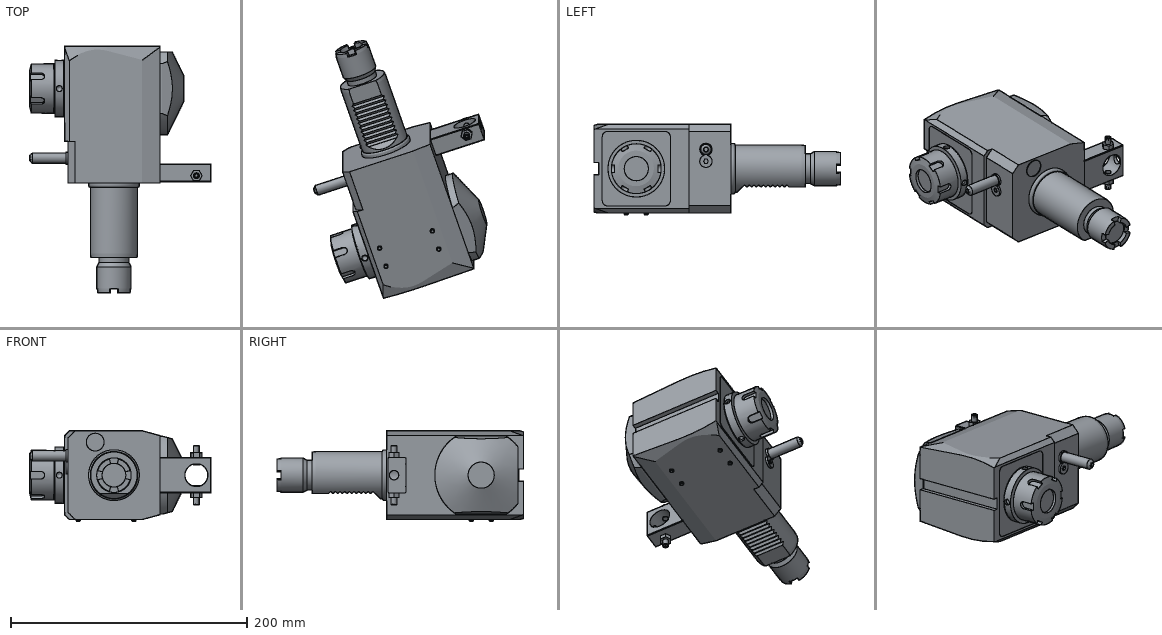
import cadquery as cq
import math


HOUSING_LENGTH = 116.0
HOUSING_HALF_HEIGHT = 37.6
HOUSING_RIGHT = 39.0
REAR_LEFT = -41.8
REAR_CHAMFER = 4.0
FRONT_LEFT = -39.0
FRONT_CHAMFER = 6.3
STEP_Y = 35.3
TAPER_ANGLE = 15.0
TAPER_START_X = 24.0

CROWN_HEIGHT = 36.8
CROWN_PEAK_X = -13.5
CROWN_RADIUS = 115.0
CROWN_SLOPE = 4.0
CROWN_HALF_SPAN = 62.7

KEYWAY_DEPTH = 4.0
KEYWAY_WIDTH = 10.0

PANEL_LENGTH = 57.7
PANEL_HEIGHT = 63.1
PANEL_CORNER = 4.5
PANEL_THICKNESS = 0.2

SPINDLE_Y = 80.0
TOOL_END_X = -71.5
SEAT_RADIUS = 23.0
SEAT_X = -42.6
FLANGE_RADIUS = 24.0
FLANGE_X = -50.0
FLANGE_HOLE_DIAMETER = 5.0
FLANGE_HOLE_DEPTH = 2.0
FLANGE_HOLE_TIP = 1.5
FLANGE_HOLE_COUNT = 4
NECK_RADIUS = 16.3
NUT_X = -50.8
NUT_RADIUS = 21.1
NUT_FACE_RADIUS = 15.0
NUT_CHAMFER = 1.5
NUT_SLOT_COUNT = 6
NUT_SLOT_WIDTH = 6.3
NUT_SLOT_END_X = -58.7
NUT_SLOT_DEPTH = 2.7
COLLET_RADIUS = 10.2
COLLET_DEPTH = 2.5

PIN_Y = 21.1
PIN_Z = 16.3
PIN_RADIUS = 4.4
PIN_CHAMFER = 2.3
COLLAR_RADIUS = 5.2
COLLAR_HEIGHT = 1.7
SCREW_Z = 6.3
SOCKET_SIZE = 4.0
SOCKET_DEPTH = 2.0

RECESS_X = -15.9
RECESS_Z = 28.0
RECESS_RADIUS = 7.5
RECESS_DEPTH = 0.6

SHANK_RADIUS = 20.0
COLLAR_RIM_RADIUS = 21.5
COLLAR_RIM_LENGTH = 1.9
RELIEF_RADIUS = 19.6
SHANK_CHAMFER_START = 60.0
SHANK_LENGTH = 63.1
DRIVE_NECK_RADIUS = 12.7
DRIVE_NECK_END = 67.3
DRIVE_RADIUS = 14.6
DRIVE_START = 70.9
DRIVE_LENGTH = 93.0
DRIVE_TIP_RADIUS = 14.2
DRIVE_SLOT_DEPTH = 3.3
DRIVE_SLOT_COUNT = 4
DRIVE_BORE_RADIUS = 10.0
DRIVE_BORE_DEPTH = 4.2
DRIVE_SLOT_INNER_WIDTH = 5.6
DRIVE_SLOT_OUTER_WIDTH = 8.2

FLAT_Z = -15.7
FLAT_START = 9.6
TOOTH_COUNT = 10
TOOTH_PITCH = 4.0
TOOTH_DEPTH = 1.7
FIRST_TOOTH = 11.7

COVER_RADIUS = 39.3
COVER_RIM_X = 45.4
COVER_TIP_RADIUS = 11.0
COVER_TIP_X = 59.1
COVER_BACK_Y = 111.2
COVER_LEDGE_END_X = 41.0

ARM_END_X = 82.1
ARM_Y = 1.0
ARM_THICKNESS = 15.3
ARM_HEIGHT = 30.0
ARM_CHAMFER = 0.6
ARM_BORE_X = 69.8
ARM_BORE_RADIUS = 9.6
ARM_END_HOLE_RADIUS = 4.0
CLAMP_Y = 6.3
CLAMP_RADIUS = 2.5
CLAMP_START_Z = 8.8
CLAMP_CHAMFER = 0.5
CLAMP_SOCKET_SIZE = 3.0
CLAMP_SOCKET_DEPTH = 2.5
CLAMP_END_Z = 25.0
CLAMP_NUT_WIDTH = 9.8
CLAMP_NUT_HEIGHT = 4.0

RIVET_X = (-30.3, 17.0)
RIVET_Y = (71.7, 88.6)
RIVET_RADIUS = 1.9
RIVET_HEIGHT = 1.5
RIVET_CHAMFER = 0.6


def taper_z(x):
    """Height of the sloped right-hand shoulder at x."""
    return HOUSING_HALF_HEIGHT - (x - TAPER_START_X) * math.tan(math.radians(TAPER_ANGLE))


def section_xz(left, chamfer, right, y_start, y_end):
    """Housing section with chamfered left corners and a sloped right side, from y_start to y_end."""
    top = HOUSING_HALF_HEIGHT
    upper = [(left, top - chamfer), (left + chamfer, top), (TAPER_START_X, top), (right, taper_z(right))]
    lower = [(x, -z) for x, z in reversed(upper)]
    return (
        cq.Workplane("XZ", origin=(0, y_start, 0))
        .polyline(upper + lower)
        .close()
        .extrude(y_start - y_end)
    )


def turned_along_x(profile):
    """Solid of revolution about the spindle axis from (x, radius) points."""
    points = [(profile[0][0], 0)] + profile + [(profile[-1][0], 0)]
    turned = cq.Workplane("XY").polyline(points).close().revolve(360, (0, 0, 0), (1, 0, 0))
    return turned.translate((0, SPINDLE_Y, 0))


def crown_envelope():
    """Drafted solid that widens forward from the back face and rounds off the housing's back edges."""
    slope = math.radians(CROWN_SLOPE)
    centre_z = CROWN_HEIGHT - CROWN_RADIUS

    def on_arc(x):
        return (x, centre_z + math.sqrt(CROWN_RADIUS**2 - (x - CROWN_PEAK_X) ** 2))

    start = on_arc(-CROWN_HALF_SPAN)
    peak = (CROWN_PEAK_X, CROWN_HEIGHT)
    tangent = on_arc(CROWN_PEAK_X + CROWN_RADIUS * math.sin(slope))
    end = (CROWN_HALF_SPAN, tangent[1] - (CROWN_HALF_SPAN - tangent[0]) * math.tan(slope))

    def mirrored(point):
        return (point[0], -point[1])

    return (
        cq.Workplane("XZ", origin=(0, HOUSING_LENGTH, 0))
        .moveTo(*start)
        .threePointArc(peak, tangent)
        .lineTo(*end)
        .lineTo(*mirrored(end))
        .lineTo(*mirrored(tangent))
        .threePointArc(mirrored(peak), mirrored(start))
        .close()
        .extrude(HOUSING_LENGTH, taper=-TAPER_ANGLE)
    )


def housing():
    front = section_xz(FRONT_LEFT, FRONT_CHAMFER, HOUSING_RIGHT, 0, STEP_Y)
    rear = section_xz(REAR_LEFT, REAR_CHAMFER, HOUSING_RIGHT, STEP_Y, HOUSING_LENGTH)
    body = front.union(rear).intersect(crown_envelope())
    keyway = (
        cq.Workplane("XY")
        .box(3 * HOUSING_LENGTH, 2 * KEYWAY_DEPTH, KEYWAY_WIDTH)
        .translate((0, HOUSING_LENGTH, 0))
    )
    recess = (
        cq.Workplane("XZ", origin=(RECESS_X, 0, RECESS_Z))
        .circle(RECESS_RADIUS)
        .extrude(-RECESS_DEPTH)
    )
    panel = (
        cq.Workplane("YZ", origin=(REAR_LEFT, SPINDLE_Y, 0))
        .rect(PANEL_LENGTH, PANEL_HEIGHT)
        .extrude(-PANEL_THICKNESS)
        .edges("|X")
        .fillet(PANEL_CORNER)
    )
    return body.cut(keyway).cut(recess).union(panel)


def spindle():
    nose = turned_along_x([
        (REAR_LEFT, SEAT_RADIUS),
        (SEAT_X, SEAT_RADIUS),
        (SEAT_X, FLANGE_RADIUS),
        (FLANGE_X, FLANGE_RADIUS),
        (FLANGE_X, NECK_RADIUS),
        (NUT_X, NECK_RADIUS),
        (NUT_X, NUT_RADIUS),
        (TOOL_END_X + NUT_CHAMFER, NUT_RADIUS),
        (TOOL_END_X, NUT_FACE_RADIUS),
    ])
    collet = turned_along_x([(TOOL_END_X, COLLET_RADIUS), (TOOL_END_X + COLLET_DEPTH, COLLET_RADIUS)])
    nose = nose.cut(collet)

    slot_length = 2 * (NUT_SLOT_END_X - TOOL_END_X)
    slot = (
        cq.Workplane("XY", origin=(TOOL_END_X, SPINDLE_Y, NUT_RADIUS - NUT_SLOT_DEPTH))
        .slot2D(slot_length, NUT_SLOT_WIDTH)
        .extrude(2 * NUT_SLOT_DEPTH)
    )
    hole = (
        cq.Workplane("XY", origin=((SEAT_X + FLANGE_X) / 2, SPINDLE_Y, FLANGE_RADIUS - FLANGE_HOLE_DEPTH))
        .circle(FLANGE_HOLE_DIAMETER / 2)
        .extrude(2 * FLANGE_HOLE_DEPTH)
    )
    hole_tip = cq.Solid.makeCone(
        FLANGE_HOLE_DIAMETER / 2,
        0,
        FLANGE_HOLE_TIP,
        cq.Vector((SEAT_X + FLANGE_X) / 2, SPINDLE_Y, FLANGE_RADIUS - FLANGE_HOLE_DEPTH),
        cq.Vector(0, 0, -1),
    )
    hole = hole.union(cq.Workplane(hole_tip))
    axis = ((0, SPINDLE_Y, 0), (1, SPINDLE_Y, 0))
    for i in range(NUT_SLOT_COUNT):
        nose = nose.cut(slot.rotate(*axis, 90 + i * 360 / NUT_SLOT_COUNT))
    for i in range(FLANGE_HOLE_COUNT):
        nose = nose.cut(hole.rotate(*axis, i * 360 / FLANGE_HOLE_COUNT))
    return nose


def hex_socket(x, z):
    return (
        cq.Workplane("YZ", origin=(x, PIN_Y, z))
        .polygon(6, SOCKET_SIZE)
        .extrude(SOCKET_DEPTH)
    )


def left_disc(radius, end_x, z):
    """Round post on the front part of the left face, reaching out to end_x."""
    return (
        cq.Workplane("YZ", origin=(FRONT_LEFT, PIN_Y, z))
        .circle(radius)
        .extrude(end_x - FRONT_LEFT)
    )


def coolant_pin_and_screw():
    collar_x = FRONT_LEFT - COLLAR_HEIGHT
    pin = left_disc(PIN_RADIUS, TOOL_END_X, PIN_Z).faces("<X").chamfer(PIN_CHAMFER)
    pin = pin.union(left_disc(COLLAR_RADIUS, collar_x, PIN_Z)).cut(hex_socket(TOOL_END_X, PIN_Z))
    screw = left_disc(COLLAR_RADIUS, collar_x, SCREW_Z).cut(hex_socket(collar_x, SCREW_Z))
    return pin.union(screw)


def shank():
    bulge = COLLAR_RIM_RADIUS - RELIEF_RADIUS
    body = (
        cq.Workplane("XY")
        .lineTo(COLLAR_RIM_RADIUS, 0)
        .lineTo(COLLAR_RIM_RADIUS, -COLLAR_RIM_LENGTH)
        .radiusArc((RELIEF_RADIUS, -COLLAR_RIM_LENGTH - bulge), bulge)
        .lineTo(SHANK_RADIUS, -COLLAR_RIM_LENGTH - bulge)
        .lineTo(SHANK_RADIUS, -SHANK_CHAMFER_START)
        .lineTo(RELIEF_RADIUS, -SHANK_LENGTH)
        .lineTo(DRIVE_NECK_RADIUS, -SHANK_LENGTH)
        .lineTo(DRIVE_NECK_RADIUS, -DRIVE_NECK_END)
        .lineTo(DRIVE_RADIUS, -DRIVE_START)
        .lineTo(DRIVE_RADIUS, DRIVE_SLOT_DEPTH - DRIVE_LENGTH)
        .lineTo(DRIVE_TIP_RADIUS, -DRIVE_LENGTH)
        .lineTo(0, -DRIVE_LENGTH)
        .close()
        .revolve(360, (0, 0, 0), (0, 1, 0))
    )
    return cut_drive_end(cut_toothed_flat(body))


def cut_toothed_flat(body):
    below = FLAT_Z - SHANK_RADIUS
    flat = (
        cq.Workplane("YZ")
        .polyline([
            (-FLAT_START, FLAT_Z),
            (-FLAT_START + SHANK_RADIUS, below),
            (-SHANK_LENGTH, below),
            (-SHANK_LENGTH, FLAT_Z),
        ])
        .close()
        .extrude(SHANK_RADIUS, both=True)
    )
    body = body.cut(flat)
    for i in range(TOOTH_COUNT):
        y = -FIRST_TOOTH - i * TOOTH_PITCH
        half = TOOTH_PITCH / 2
        groove = (
            cq.Workplane("YZ")
            .polyline([(y - half, FLAT_Z), (y, FLAT_Z + TOOTH_DEPTH), (y + half, FLAT_Z)])
            .close()
            .extrude(SHANK_RADIUS, both=True)
        )
        body = body.cut(groove)
    return body


def cut_drive_end(body):
    end = cq.Workplane("XZ", origin=(0, -DRIVE_LENGTH, 0))
    body = body.cut(end.circle(DRIVE_BORE_RADIUS).extrude(-DRIVE_BORE_DEPTH))
    inner = DRIVE_SLOT_INNER_WIDTH / 2
    outer = DRIVE_SLOT_OUTER_WIDTH / 2
    start = DRIVE_BORE_RADIUS * math.cos(math.asin(inner / DRIVE_BORE_RADIUS))
    slot = (
        end.polyline([(-inner, start), (inner, start), (outer, DRIVE_RADIUS), (-outer, DRIVE_RADIUS)])
        .close()
        .extrude(-DRIVE_SLOT_DEPTH)
    )
    for i in range(DRIVE_SLOT_COUNT):
        body = body.cut(slot.rotate((0, 0, 0), (0, 1, 0), i * 360 / DRIVE_SLOT_COUNT))
    return body


def bearing_cover():
    cone = turned_along_x([
        (HOUSING_RIGHT, COVER_RADIUS),
        (COVER_RIM_X, COVER_RADIUS),
        (COVER_TIP_X, COVER_TIP_RADIUS),
    ])
    cover = cone.intersect(section_xz(REAR_LEFT, REAR_CHAMFER, COVER_TIP_X, 0, COVER_BACK_Y))
    ledge = cq.Workplane("XY").box(2 * COVER_TIP_X, 2 * HOUSING_LENGTH, 2 * taper_z(COVER_LEDGE_END_X))
    return cover.intersect(ledge)


def torque_arm():
    length = ARM_END_X - HOUSING_RIGHT
    arm = (
        cq.Workplane("XY")
        .box(length, ARM_THICKNESS, ARM_HEIGHT, centered=(False, False, True))
        .translate((HOUSING_RIGHT, ARM_Y, 0))
        .edges("|X")
        .chamfer(ARM_CHAMFER)
    )
    bore = (
        cq.Workplane("XZ", origin=(ARM_BORE_X, 0, 0))
        .circle(ARM_BORE_RADIUS)
        .extrude(-2 * ARM_THICKNESS)
    )
    end_hole = (
        cq.Workplane("YZ", origin=(ARM_BORE_X, CLAMP_Y, 0))
        .circle(ARM_END_HOLE_RADIUS)
        .extrude(ARM_END_X - ARM_BORE_X)
    )
    clamp = clamp_screw()
    return arm.cut(bore).cut(end_hole).union(clamp).union(clamp.mirror("XY"))


def clamp_screw():
    """Upper socket set screw with its lock nut; its inner end reaches the arm bore."""
    stud = (
        cq.Workplane("XY", origin=(ARM_BORE_X, CLAMP_Y, CLAMP_START_Z))
        .circle(CLAMP_RADIUS)
        .extrude(CLAMP_END_Z - CLAMP_START_Z)
        .faces(">Z")
        .chamfer(CLAMP_CHAMFER)
    )
    nut = (
        cq.Workplane("XY", origin=(ARM_BORE_X, CLAMP_Y, ARM_HEIGHT / 2))
        .polygon(6, CLAMP_NUT_WIDTH)
        .extrude(CLAMP_NUT_HEIGHT)
    )
    socket = (
        cq.Workplane("XY", origin=(ARM_BORE_X, CLAMP_Y, CLAMP_END_Z))
        .polygon(6, CLAMP_SOCKET_SIZE)
        .extrude(-CLAMP_SOCKET_DEPTH)
    )
    return stud.union(nut).cut(socket)


def rivets():
    return (
        cq.Workplane("XY", origin=(0, 0, -HOUSING_HALF_HEIGHT))
        .pushPoints([(x, y) for x in RIVET_X for y in RIVET_Y])
        .circle(RIVET_RADIUS)
        .extrude(-RIVET_HEIGHT)
        .faces("<Z")
        .chamfer(RIVET_CHAMFER)
    )


result = (
    housing()
    .union(spindle())
    .union(coolant_pin_and_screw())
    .union(shank())
    .union(bearing_cover())
    .union(torque_arm())
    .union(rivets())
)